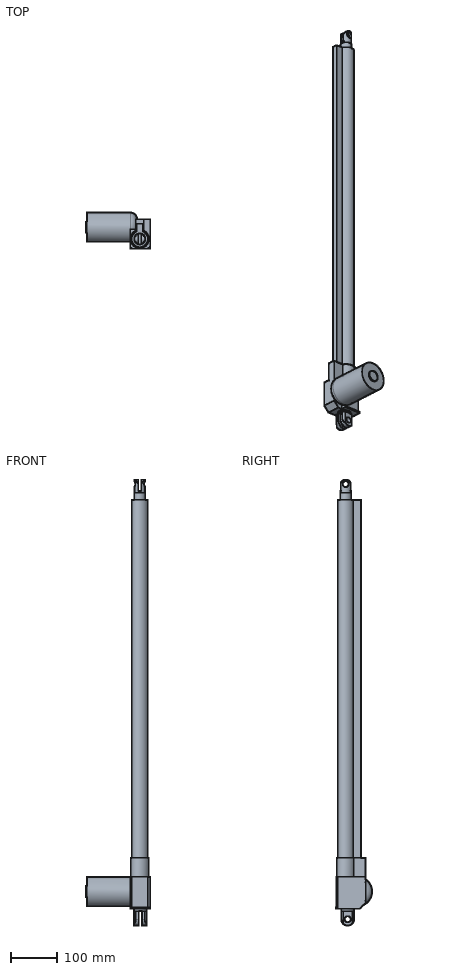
import cadquery as cq


total_length = 139.7
total_depth = 78.64
total_height = 963.27

pin_diameter = 12.7
slot_width = 6.35
lower_clevis_width = 27.94
lower_clevis_chamfer = 4.5
lower_clevis_top = 31.5
neck_diameter = lower_clevis_width
lower_clevis_y = 4.3

motor_diameter = 63.76
motor_y = 25.4
motor_boss_diameter = 24.13
motor_boss_length = 2.54
dome_radius = 15.0

housing_left = -20.5
housing_right = 22.9
housing_front = motor_y + motor_diameter / 2 - total_depth
housing_back = 20.5
housing_bottom = 36.5
housing_height = 69.0
base_plate_thickness = 3.0
plate_lip = 0.5
left_corner_chamfer = 3.2
right_corner_chamfer_x = 6.0
right_corner_chamfer_y = 4.2
gear_case_back = 43.0
gear_case_chamfer = 12.5
housing_top = housing_bottom + housing_height
motor_z = housing_top - motor_diameter / 2
lower_clevis_x = (housing_left + housing_right) / 2

sleeve_diameter = 39.6
sleeve_top = 146.5
sleeve_block_width = 17.4
sleeve_block_left = -sleeve_block_width / 2

tube_diameter = 35.2
tube_top = 919.8
rail_width = 12.0
rail_back = 33.2

upper_clevis_diameter = 23.21
rod_diameter = 24.13
rod_top = 934.5
upper_slot_bottom = 939.0
upper_pin_drop = 9.5
upper_tip_radius = upper_clevis_diameter / 2


def box(x_range, y_range, z_range):
    """Box filling the given ranges along X, Y and Z."""
    (x0, x1), (y0, y1), (z0, z1) = x_range, y_range, z_range
    return cq.Workplane("XY").box(x1 - x0, y1 - y0, z1 - z0, centered=False).translate((x0, y0, z0))


def upright(diameter, bottom, top):
    """Cylinder on the tube axis."""
    return cq.Workplane("XY").workplane(offset=bottom).circle(diameter / 2).extrude(top - bottom)


def along_x(diameter, y, z, left, right):
    """Cylinder parallel to X."""
    return (
        cq.Workplane("YZ", origin=(left, 0, 0))
        .center(y, z)
        .circle(diameter / 2)
        .extrude(right - left)
    )


def pin_hole(z):
    """Cross hole long enough to pass through either clevis."""
    return along_x(pin_diameter, 0, z, -lower_clevis_width, lower_clevis_width)


def fork_slot(bottom, top):
    """Slot along Y that splits a clevis into two cheeks."""
    half = slot_width / 2
    reach = lower_clevis_width
    return box((-half, half), (-reach, reach), (bottom, top))


def make_lower_clevis():
    """Square fork with cut corners and a round tip, on a round neck."""
    half = lower_clevis_width / 2
    fork = box((-half, half), (-half, half), (half, lower_clevis_top))
    fork = fork.union(along_x(lower_clevis_width, 0, half, -half, half))
    corner_bar = (
        cq.Workplane("XY")
        .rect(lower_clevis_width, lower_clevis_width)
        .extrude(lower_clevis_top)
        .edges("|Z")
        .chamfer(lower_clevis_chamfer)
    )
    fork = fork.intersect(corner_bar)
    fork = fork.cut(pin_hole(half)).cut(fork_slot(0, lower_clevis_top))
    fork = fork.union(upright(neck_diameter, lower_clevis_top, housing_bottom + base_plate_thickness))
    return fork.translate((lower_clevis_x, lower_clevis_y, 0))


def make_upper_clevis():
    """Round fork with a rounded tip, on the wider rod that slides in the tube."""
    pin_z = total_height - upper_pin_drop
    tip_z = total_height - upper_tip_radius
    half = upper_clevis_diameter / 2
    rounded_bar = along_x(upper_clevis_diameter, 0, tip_z, -half, half)
    rounded_bar = rounded_bar.union(box((-half, half), (-half, half), (rod_top, tip_z)))
    fork = upright(upper_clevis_diameter, rod_top, total_height).intersect(rounded_bar)
    fork = fork.cut(pin_hole(pin_z)).cut(fork_slot(upper_slot_bottom, total_height))
    return fork.union(upright(rod_diameter, sleeve_top, rod_top))


def make_motor():
    """Motor barrel with an end boss, domed where it runs into the housing."""
    left = housing_right - total_length
    body_left = left + motor_boss_length
    dome_end = housing_left + dome_radius
    body = along_x(motor_diameter, motor_y, motor_z, body_left, dome_end)
    body = body.faces(">X").edges().fillet(dome_radius)
    return body.union(along_x(motor_boss_diameter, motor_y, motor_z, left, body_left))


def make_housing():
    """Base plate, body with chamfered front corners, and the gear case behind it."""
    across = (housing_left, housing_right)
    depth = (housing_front, housing_back)
    plate_top = housing_bottom + base_plate_thickness
    plate = box(across, depth, (housing_bottom, plate_top))
    body_left = housing_left + plate_lip
    body_front = housing_front + plate_lip
    body = (
        cq.Workplane("XY", origin=(0, 0, plate_top))
        .moveTo(body_left, housing_back)
        .lineTo(body_left, body_front + left_corner_chamfer)
        .lineTo(body_left + left_corner_chamfer, body_front)
        .lineTo(housing_right - right_corner_chamfer_x, body_front)
        .lineTo(housing_right, body_front + right_corner_chamfer_y)
        .lineTo(housing_right, housing_back)
        .close()
        .extrude(housing_top - plate_top)
    )
    gear_case = box((sleeve_block_left, housing_right), (0, gear_case_back), (housing_bottom, housing_top))
    gear_case = gear_case.edges(">Y and <Z").chamfer(gear_case_chamfer)
    return plate.union(body).union(gear_case)


def make_sleeve():
    """Round sleeve around the tube foot with a block enclosing the rail."""
    block = box(
        (sleeve_block_left, -sleeve_block_left),
        (0, gear_case_back),
        (motor_z, sleeve_top),
    )
    return upright(sleeve_diameter, housing_top, sleeve_top).union(block)


def make_tube():
    """Outer tube with a rectangular rail along its back."""
    rail = box((-rail_width / 2, rail_width / 2), (0, rail_back), (motor_z, tube_top))
    return upright(tube_diameter, motor_z, tube_top).union(rail)


result = make_housing()
for piece in (make_motor(), make_sleeve(), make_tube(), make_upper_clevis(), make_lower_clevis()):
    result = result.union(piece)